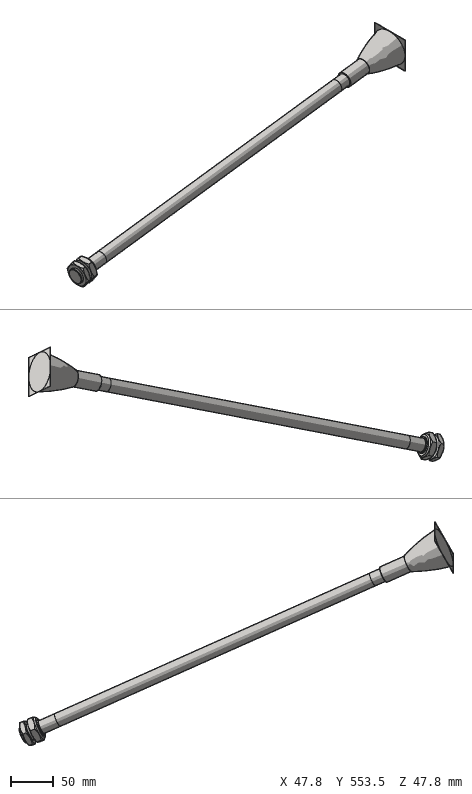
import cadquery as cq
import math

TOTAL_LENGTH = 553.45

MOUTH_DIAMETER = 47.84
MOUTH_PLATE_THICKNESS = 0.5
HORN_LENGTH = 47.5
HORN_SMALL_DIAMETER = 21.0
HORN_MIDDLE_DIAMETER = 37.6

SLEEVE_DIAMETER = 20.0
SLEEVE_LENGTH = 32.5
NECK_STUB_LENGTH = 14.0

TUBE_DIAMETER = 16.5

FITTING_DIAMETER = 20.0
FITTING_END_CHAMFER = 0.8
FITTING_LENGTH = 25.0
COLLAR_LENGTH = 1.5
SHOULDER_LENGTH = 1.8
SHOULDER_TOP_DIAMETER = 25.5
SHOULDER_BASE_DIAMETER = 28.4
FITTING_STUB_LENGTH = 21.0

NUT_ACROSS_FLATS = 29.0
NUT_CHAMFER_ANGLE = 30.0
NUT_FACE_DIAMETER = 28.4
NUT_PLACES = [(3.3, 6.7), (13.3, 8.4)]

horn_start = TOTAL_LENGTH - HORN_LENGTH
sleeve_start = horn_start - SLEEVE_LENGTH
tube_end = sleeve_start - NECK_STUB_LENGTH
tube_start = FITTING_LENGTH + FITTING_STUB_LENGTH


def cylinder(diameter, start, end):
    """Round bar on the Y axis between two Y positions."""
    sketch = cq.Workplane("XZ", origin=(0, start, 0)).circle(diameter / 2)
    return sketch.extrude(-(end - start))


def revolve_about_y(profile):
    """Turn a closed (radius, Y) profile around the Y axis."""
    return profile.close().revolve(360, (0, 0, 0), (0, 1, 0))


def make_horn():
    """Bell with a thin square plate across its mouth."""
    middle = (HORN_MIDDLE_DIAMETER / 2, horn_start + HORN_LENGTH / 2)
    bell = revolve_about_y(
        cq.Workplane("XY")
        .moveTo(0, horn_start)
        .lineTo(HORN_SMALL_DIAMETER / 2, horn_start)
        .threePointArc(middle, (MOUTH_DIAMETER / 2, TOTAL_LENGTH))
        .lineTo(0, TOTAL_LENGTH)
    )
    plate = (
        cq.Workplane("XZ", origin=(0, TOTAL_LENGTH, 0))
        .rect(MOUTH_DIAMETER, MOUTH_DIAMETER)
        .extrude(MOUTH_PLATE_THICKNESS)
    )
    return bell.union(plate)


def make_neck():
    """Sleeve below the horn and its narrower stub."""
    sleeve = cylinder(SLEEVE_DIAMETER, sleeve_start, horn_start)
    return sleeve.union(cylinder(TUBE_DIAMETER, tube_end, sleeve_start))


def make_fitting():
    """Threaded body with end chamfer, tapered shoulder, collar and tube stub."""
    shoulder_top = FITTING_LENGTH - COLLAR_LENGTH
    shoulder_base = shoulder_top - SHOULDER_LENGTH
    radius = FITTING_DIAMETER / 2
    return revolve_about_y(
        cq.Workplane("XY")
        .moveTo(0, 0)
        .lineTo(radius - FITTING_END_CHAMFER, 0)
        .lineTo(radius, FITTING_END_CHAMFER)
        .lineTo(radius, shoulder_base)
        .lineTo(SHOULDER_BASE_DIAMETER / 2, shoulder_base)
        .lineTo(SHOULDER_TOP_DIAMETER / 2, shoulder_top)
        .lineTo(radius, shoulder_top)
        .lineTo(radius, FITTING_LENGTH)
        .lineTo(TUBE_DIAMETER / 2, FITTING_LENGTH)
        .lineTo(TUBE_DIAMETER / 2, tube_start)
        .lineTo(0, tube_start)
    )


def make_nut(start, thickness):
    """Hexagon nut with both faces chamfered, bored for the fitting."""
    end = start + thickness
    corner_radius = NUT_ACROSS_FLATS / 2 / math.cos(math.radians(30))
    face_radius = NUT_FACE_DIAMETER / 2
    drop = (corner_radius - face_radius) * math.tan(math.radians(NUT_CHAMFER_ANGLE))
    hexagon = (
        cq.Workplane("XZ", origin=(0, start, 0))
        .polygon(6, 2 * corner_radius)
        .extrude(-thickness)
    )
    chamfer_envelope = revolve_about_y(
        cq.Workplane("XY")
        .moveTo(0, start)
        .lineTo(face_radius, start)
        .lineTo(corner_radius, start + drop)
        .lineTo(corner_radius, end - drop)
        .lineTo(face_radius, end)
        .lineTo(0, end)
    )
    bore = cylinder(FITTING_DIAMETER, start, end)
    return hexagon.intersect(chamfer_envelope).cut(bore)


horn = make_horn()
neck = make_neck()
tube = cylinder(TUBE_DIAMETER, tube_start, tube_end)
fitting = make_fitting()
nuts = [make_nut(start, thickness) for start, thickness in NUT_PLACES]

result = cq.Compound.makeCompound(
    [horn.val(), neck.val(), tube.val(), fitting.val(), *[nut.val() for nut in nuts]]
)